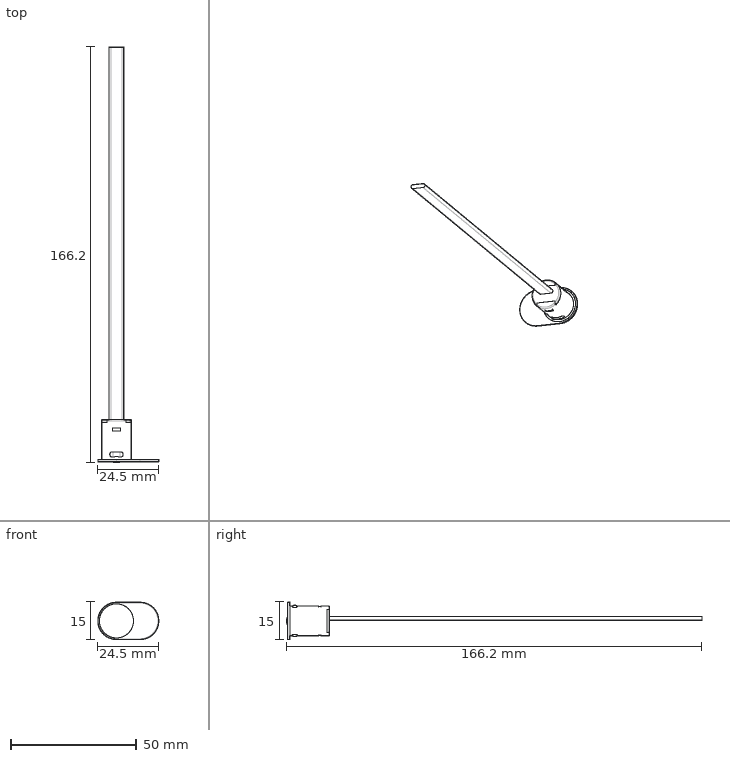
import cadquery as cq

total_length = 166.2

plate_length = 24.5
plate_width = 15.0
plate_thickness = 1.0
plate_edge_fillet = 0.3
plate_offset = (plate_length - plate_width) / 2

button_radius = 6.8
dome_height = 0.3
groove_radius = 2.7
groove_depth = 0.25
groove_outer_radius = 4.5

barrel_radius = 6.0
barrel_diameter = 2 * barrel_radius
barrel_end = 17.0
end_fillet = 0.5

slot_length = 3.2
slot_width = 1.2
slot_depth = 1.7
slot_y = 13.0

clip_radius = 1.3
clip_height = 0.3
clip_straight_length = 2.8
clip_y = 3.0

cap_thickness = 1.2
tongue_width = 7.6
tongue_inner_height = 3.3

rod_width = 6.0
rod_height = 1.7
rod_center_z = 1.0
rod_hole_depth = 1.7
rod_end = total_length - dome_height


def section_at(y):
    """Workplane at the given Y whose extrusions run towards +Y; its local y points along -Z."""
    return cq.Workplane("XZ", origin=(0, y, 0)).transformed(rotate=(180, 0, 0))


def make_plate():
    plate = (
        section_at(0)
        .center(plate_offset, 0)
        .slot2D(plate_length, plate_width)
        .extrude(plate_thickness)
        .faces("<Y")
        .fillet(plate_edge_fillet)
    )
    return plate.cut(section_at(0).circle(button_radius).extrude(plate_thickness))


def make_button():
    face_points = [
        (groove_radius, groove_depth),
        (groove_outer_radius, 0),
        (button_radius, 0),
    ]
    return (
        cq.Workplane("XY")
        .moveTo(0, -dome_height)
        .spline(face_points, tangents=[(1, 0)] * (len(face_points) + 1), includeCurrent=True)
        .lineTo(button_radius, plate_thickness)
        .lineTo(0, plate_thickness)
        .close()
        .revolve(360, (0, 0, 0), (0, 1, 0))
    )


def make_rod():
    rod_start = barrel_end - rod_hole_depth
    return (
        section_at(rod_start)
        .center(0, -rod_center_z)
        .slot2D(rod_width, rod_height)
        .extrude(rod_end - rod_start)
    )


def make_end_cylinder():
    """Whole cylinder behind the plate, later shared out between the barrel and the cap."""
    return (
        section_at(plate_thickness)
        .circle(barrel_radius)
        .extrude(barrel_end - plate_thickness)
        .faces(">Y")
        .fillet(end_fillet)
    )


def make_cap_space():
    """Slice at the end of the cylinder, less the places of the two barrel tongues."""
    slice_start = section_at(barrel_end - cap_thickness)
    space = slice_start.rect(barrel_diameter, barrel_diameter).extrude(cap_thickness)
    tongue_height = barrel_radius - tongue_inner_height
    tongue_center = tongue_inner_height + tongue_height / 2
    tongues = (
        slice_start.pushPoints([(0, tongue_center), (0, -tongue_center)])
        .rect(tongue_width, tongue_height)
        .extrude(cap_thickness)
    )
    return space.cut(tongues)


def make_slot():
    """Cutter for the slot in the top of the barrel; its lower half lies inside the barrel."""
    cutter = cq.Workplane("XY").box(slot_length, slot_width, 2 * slot_depth)
    return cutter.translate((0, slot_y, barrel_radius))


def make_clip():
    """Round bar along X with ball ends, rising clip_height above the top of the barrel."""
    half_length = clip_straight_length / 2
    clip_z = barrel_radius + clip_height - clip_radius
    clip = cq.Workplane("YZ").circle(clip_radius).extrude(half_length, both=True)
    for end in (-half_length, half_length):
        clip = clip.union(cq.Workplane("XY").sphere(clip_radius).translate((end, 0, 0)))
    return clip.translate((0, clip_y, clip_z))


def make_barrel(rod):
    barrel = make_end_cylinder().cut(make_cap_space()).cut(rod)
    slot = make_slot()
    clip = make_clip()
    for cutter in (slot, slot.mirror("XY")):
        barrel = barrel.cut(cutter)
    for bar in (clip, clip.mirror("XY")):
        barrel = barrel.union(bar)
    return barrel


def make_cap(rod):
    return make_end_cylinder().intersect(make_cap_space()).cut(rod)


plate = make_plate()
button = make_button()
rod = make_rod()
barrel = make_barrel(rod)
cap = make_cap(rod)

result = cq.Compound.makeCompound([
    plate.val(),
    button.val(),
    barrel.val(),
    cap.val(),
    rod.val(),
])